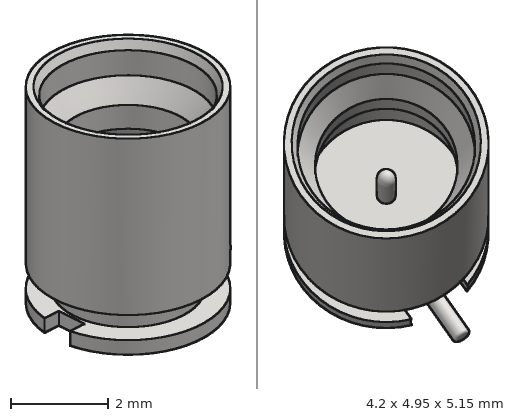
import cadquery as cq

total_height = 5.15
barrel_radius = 2.1
neck_radius = 1.575
flange_thickness = 0.35
barrel_bottom = 0.95

rim_radius = 1.94
entry_radius = 1.825
throat_radius = 1.465
undercut_radius = 1.65
entry_top = 4.945
entry_bottom = 4.345
throat_top = 3.85
throat_bottom = 3.285
undercut_top = 2.935
floor_height = 2.165

pin_radius = 0.195
pin_top = 3.295
lead_tip = 2.85
lead_height = 0.2
lead_tip_fillet = 0.06

opening_radius = 0.7
core_radius = 0.88

notch_width = 0.735
notch_floor = 1.655


def make_shell():
    """Revolve the shell section, with radius along X and height along Z."""
    section = [
        (0, 0),
        (barrel_radius, 0),
        (barrel_radius, flange_thickness),
        (neck_radius, flange_thickness),
        (neck_radius, barrel_bottom),
        (barrel_radius, barrel_bottom),
        (barrel_radius, total_height),
        (rim_radius, total_height),
        (entry_radius, entry_top),
        (entry_radius, entry_bottom),
        (throat_radius, throat_top),
        (throat_radius, throat_bottom),
        (undercut_radius, undercut_top),
        (undercut_radius, floor_height),
        (0, floor_height),
    ]
    return cq.Workplane("XZ").polyline(section).close().revolve(360, (0, 0), (0, 1))


def rod_toward_y(radius, start, end):
    """Cylinder along Y at the height of the lead."""
    base = cq.Workplane("XZ", origin=(0, start, lead_height))
    return base.circle(radius).extrude(start - end)


def make_notch():
    """Block through the flange thickness, from the notch floor out past the edge."""
    notch_length = barrel_radius - notch_floor
    return (
        cq.Workplane("XY")
        .center(0, -(notch_floor + notch_length / 2))
        .rect(notch_width, notch_length)
        .extrude(flange_thickness)
    )


def make_contact_pin():
    """Pin standing on the socket floor, with a hemispherical tip."""
    tip_center = pin_top - pin_radius
    shank = cq.Workplane("XY", origin=(0, 0, floor_height))
    shank = shank.circle(pin_radius).extrude(tip_center - floor_height)
    tip = cq.Workplane("XY", origin=(0, 0, tip_center)).sphere(pin_radius)
    return shank.union(tip)


def make_lead():
    """Lead with a rounded tip, rooted in the core."""
    lead = rod_toward_y(pin_radius, 0, lead_tip)
    return lead.faces(">Y").edges().fillet(lead_tip_fillet)


opening = rod_toward_y(opening_radius, core_radius, barrel_radius)
shell = make_shell().cut(opening).cut(make_notch())
result = shell.union(make_contact_pin()).union(make_lead())